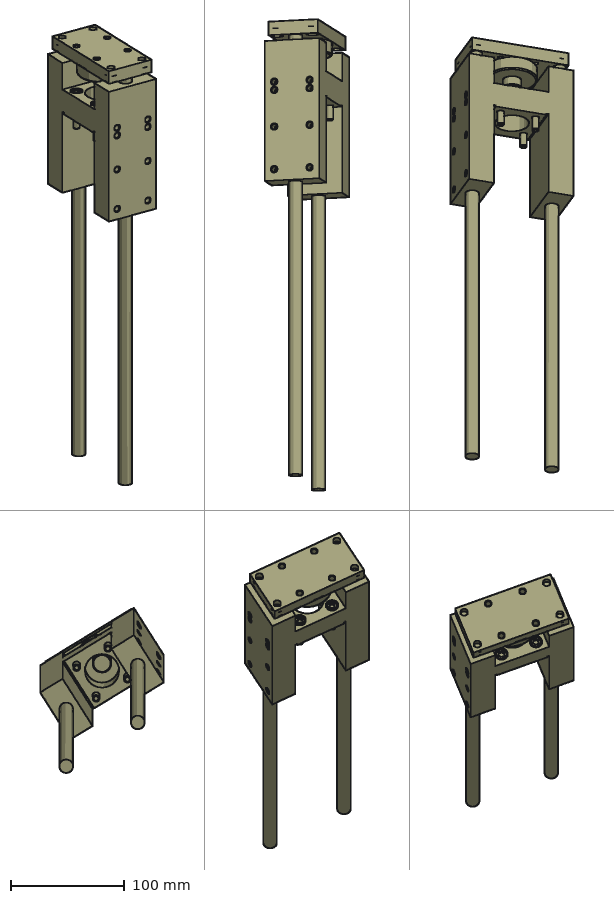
import cadquery as cq
import math

total_height = 405.0

housing_width = 97.0
housing_depth = 50.0
housing_height = 125.0
yoke_rise = 18.0
housing_top = total_height - yoke_rise
housing_bottom = housing_top - housing_height
leg_gap = 50.5
crossbar_thickness = 23.0
upper_gap_depth = 25.5
crossbar_top = housing_top - upper_gap_depth
crossbar_bottom = crossbar_top - crossbar_thickness
crossbar_bore_diameter = 30.0
relief_width = 1.5
relief_depth = 1.2

thread_mouth_diameter = 6.0
thread_core_diameter = 5.0
thread_mouth_depth = (thread_mouth_diameter - thread_core_diameter) / 2

side_hole_tip_length = 1.5
side_hole_depth = 10.0
side_hole_heights = [10.0, 48.0, 81.0, 88.3]

pattern_pitch = 32.5

plate_width = 90.0
plate_depth = 45.0
plate_thickness = 12.0
plate_bottom = total_height - plate_thickness
corner_hole_diameter = 6.5
corner_hole_pitch = 77.8
corner_counterbore_diameter = 11.0
corner_counterbore_depth = 6.0
rod_diameter = 12.0
rod_pitch = 74.0
coupling_diameter = 44.0
coupling_height = 11.7
coupling_chamfer = 1.2
stub_diameter = 16.5
stub_height = 8.5
stub_chamfer = 1.0

screw_diameter = 6.0
screw_clearance_diameter = 6.5
screw_head_diameter = 10.0
screw_head_height = 6.0
screw_head_chamfer = 1.0
screw_counterbore_diameter = 11.0
screw_counterbore_depth = 6.5
screw_protrusion = 13.0
screw_chamfer = 1.0
socket_across_flats = 5.0
socket_depth = 3.0


def four_points(pitch_x, pitch_y):
    """Corners of a rectangle centred on the origin."""
    return [(x * pitch_x / 2, y * pitch_y / 2) for x in (-1, 1) for y in (-1, 1)]


pattern_points = four_points(pattern_pitch, pattern_pitch)
corner_points = four_points(corner_hole_pitch, pattern_pitch)
rod_points = [(-rod_pitch / 2, 0), (rod_pitch / 2, 0)]


def block(width, depth, bottom, top, x=0.0):
    """Box centred on Y = 0, between two heights."""
    return cq.Workplane("XY").box(width, depth, top - bottom, (True, True, False)).translate((x, 0, bottom))


def cylinders(points, diameter, bottom, top):
    """Upright cylinders at the given XY points, between two heights."""
    base = cq.Workplane("XY", origin=(0, 0, bottom)).pushPoints(points)
    return base.circle(diameter / 2).extrude(top - bottom)


def threaded_hole(depth, tip_length):
    """Cutter along +X from the origin: chamfered mouth, core bore and an end cone."""
    mouth_radius = thread_mouth_diameter / 2
    core_radius = thread_core_diameter / 2
    profile = [
        (0, 0),
        (0, mouth_radius),
        (thread_mouth_depth, core_radius),
        (depth, core_radius),
        (depth + tip_length, 0),
    ]
    return cq.Workplane("XY").polyline(profile).close().revolve(360, (0, 0), (1, 0))


def cut_side_holes(body):
    """Blind threaded holes in both outer side faces."""
    left_hole = threaded_hole(side_hole_depth, side_hole_tip_length)
    for y in (-pattern_pitch / 2, pattern_pitch / 2):
        for height in side_hole_heights:
            hole = left_hole.translate((-housing_width / 2, y, housing_bottom + height))
            body = body.cut(hole).cut(hole.mirror("YZ"))
    return body


def make_housing():
    """H-shaped block with rod bores, a central bore and counterbored screw holes."""
    body = block(housing_width, housing_depth, housing_bottom, housing_top)
    body = body.cut(block(leg_gap, housing_depth, crossbar_top, housing_top))
    body = body.cut(block(leg_gap, housing_depth, housing_bottom, crossbar_bottom))

    for side in (-1, 1):
        groove_x = side * (leg_gap - relief_width) / 2
        body = body.cut(
            block(relief_width, housing_depth, crossbar_bottom, crossbar_bottom + relief_depth, groove_x)
        )

    body = body.cut(cylinders(rod_points, rod_diameter, housing_bottom, housing_top))
    body = body.cut(cylinders([(0, 0)], crossbar_bore_diameter, crossbar_bottom, crossbar_top))
    body = body.cut(cylinders(pattern_points, screw_clearance_diameter, crossbar_bottom, crossbar_top))
    counterbore_floor = crossbar_top - screw_counterbore_depth
    body = body.cut(cylinders(pattern_points, screw_counterbore_diameter, counterbore_floor, crossbar_top))
    return cut_side_holes(body)


def make_plate():
    """End plate with corner holes counterbored from below and threaded inner holes."""
    plate = block(plate_width, plate_depth, plate_bottom, total_height)
    plate = plate.cut(cylinders(corner_points, corner_hole_diameter, plate_bottom, total_height))
    counterbore_top = plate_bottom + corner_counterbore_depth
    plate = plate.cut(cylinders(corner_points, corner_counterbore_diameter, plate_bottom, counterbore_top))
    plate = plate.cut(cylinders(pattern_points, thread_core_diameter, plate_bottom, total_height))
    for x, y in pattern_points:
        mouth = cq.Solid.makeCone(
            thread_core_diameter / 2,
            thread_mouth_diameter / 2,
            thread_mouth_depth,
            pnt=cq.Vector(x, y, total_height - thread_mouth_depth),
        )
        plate = plate.cut(cq.Workplane(mouth))
    return plate


def make_yoke():
    """End plate carrying the two guide rods and the central coupling."""
    coupling_bottom = plate_bottom - coupling_height
    coupling = cylinders([(0, 0)], coupling_diameter, coupling_bottom, plate_bottom)
    coupling = coupling.faces("<Z").edges().chamfer(coupling_chamfer)
    stub = cylinders([(0, 0)], stub_diameter, coupling_bottom - stub_height, coupling_bottom)
    stub = stub.faces("<Z").edges().chamfer(stub_chamfer)

    rods = cylinders(rod_points, rod_diameter, 0, plate_bottom)
    return make_plate().union(coupling).union(stub).union(rods)


def make_screw(x, y):
    """Socket head screw seated in its counterbore, with its tip below the crossbar."""
    seat = crossbar_top - screw_counterbore_depth
    head_top = seat + screw_head_height
    tip = crossbar_bottom - screw_protrusion
    shank = cylinders([(x, y)], screw_diameter, tip, seat)
    shank = shank.faces("<Z").edges().chamfer(screw_chamfer)
    head = cylinders([(x, y)], screw_head_diameter, seat, head_top)
    head = head.faces(">Z").edges().chamfer(screw_head_chamfer)
    socket_across_corners = socket_across_flats / math.cos(math.pi / 6)
    socket = (
        cq.Workplane("XY", origin=(x, y, head_top))
        .polygon(6, socket_across_corners)
        .extrude(-socket_depth)
    )
    return shank.union(head).cut(socket)


housing = make_housing()
yoke = make_yoke()
screws = [make_screw(x, y) for x, y in pattern_points]

result = cq.Compound.makeCompound([housing.val(), yoke.val(), *[screw.val() for screw in screws]])